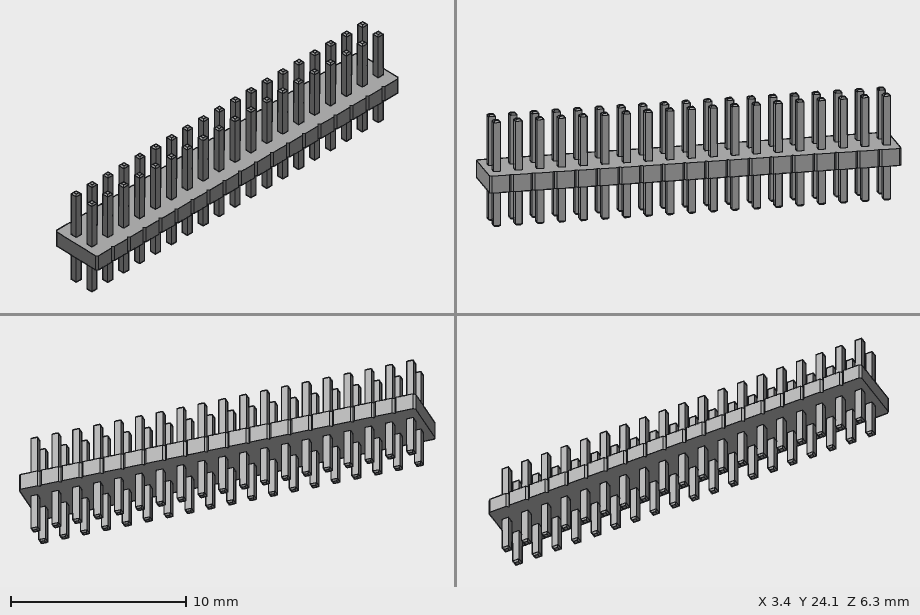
import cadquery as cq


row_length = 24.13
pins_per_row = 19
row_count = 2
strip_width = 3.4
corner_chamfer = 0.12
overall_height = 6.3
pin_above = 3.0
pin_below = 2.3
pin_size = 0.4
tip_chamfer = 0.1

pitch = row_length / pins_per_row
strip_height = overall_height - pin_above - pin_below


def pin_grid(plane_height):
    """Pin positions on a horizontal plane at the given height."""
    plane = cq.Workplane("XY", origin=(0, 0, plane_height))
    return plane.rarray(pitch, pitch, row_count, pins_per_row)


def make_strip():
    """One chamfered segment per pin pair; the chamfers form V notches along both sides."""
    segment = (
        cq.Workplane("XY")
        .box(strip_width, pitch, strip_height, centered=(True, True, False))
        .edges("|Z")
        .chamfer(corner_chamfer)
    )
    segment_centres = cq.Workplane("XY").rarray(pitch, pitch, 1, pins_per_row)
    return segment_centres.eachpoint(segment.val(), combine=True)


def make_pins():
    """Square pins with tapered tips, one at every grid position."""
    pin = (
        cq.Workplane("XY")
        .box(pin_size, pin_size, overall_height, centered=(True, True, False))
        .faces("<Z or >Z")
        .chamfer(tip_chamfer)
    )
    return pin_grid(-pin_below).eachpoint(pin.val())


result = make_strip().union(make_pins()).clean()